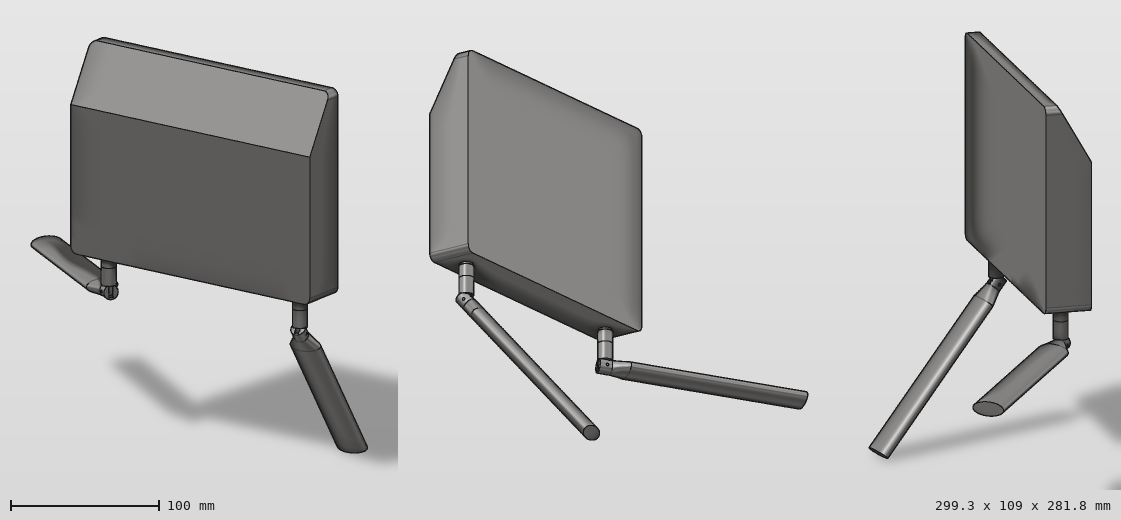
import cadquery as cq

HOUSING_WIDTH = 200.0
HOUSING_DEPTH = 32.0
HOUSING_HEIGHT = 145.0
CORNER_RADIUS = 5.0
SLOPE_HEIGHT = 40.0
TOP_LEDGE_DEPTH = 9.0

PEG_SPACING = 160.0
PEG_DIAMETER = 9.0
PEG_LENGTH = 10.0
STUB_GAP = 1.5
STUB_DIAMETER = 10.2
STUB_BOTTOM = -22.5

PIVOT_Z = -27.0
TONGUE_THICKNESS = 3.0
TONGUE_RADIUS = 3.5
PIN_RADIUS = 1.0
NECK_RADIUS = 5.0
NECK_BACK = 5.0
NECK_FRONT = 3.5

SHOULDER_END = 15.0
ANTENNA_LENGTH = 140.0
PADDLE_WIDTH = 22.2
PADDLE_THICKNESS = 10.2

ANTENNA_POSES = [
    (-PEG_SPACING / 2, 143.8, 3.4),
    (PEG_SPACING / 2, 103.6, 49.5),
]


def make_housing():
    front, back = -HOUSING_DEPTH / 2, HOUSING_DEPTH / 2
    slope_start = HOUSING_HEIGHT - SLOPE_HEIGHT
    profile = [
        (front, 0),
        (back, 0),
        (back, HOUSING_HEIGHT),
        (back - TOP_LEDGE_DEPTH, HOUSING_HEIGHT),
        (front, slope_start),
    ]
    wedge = cq.Workplane("YZ").polyline(profile).close().extrude(HOUSING_WIDTH / 2, both=True)
    outline = (
        cq.Workplane("XZ")
        .rect(HOUSING_WIDTH, HOUSING_HEIGHT)
        .extrude(HOUSING_DEPTH / 2, both=True)
        .translate((0, 0, HOUSING_HEIGHT / 2))
        .edges("|Y")
        .fillet(CORNER_RADIUS)
    )
    pegs = cq.Workplane("XY").rarray(PEG_SPACING, 3, 2, 1).circle(PEG_DIAMETER / 2).extrude(-PEG_LENGTH)
    return wedge.intersect(outline).union(pegs)


def make_stub():
    """Stub under a peg at X = 0, with its hinge axis along Y."""
    barrel = (
        cq.Workplane("XY", origin=(0, 0, STUB_BOTTOM))
        .circle(STUB_DIAMETER / 2)
        .extrude(-STUB_GAP - STUB_BOTTOM)
    )
    socket = cq.Workplane("XY").circle(PEG_DIAMETER / 2).extrude(-PEG_LENGTH)
    tongue_top = STUB_BOTTOM - PIVOT_Z
    tongue = (
        cq.Workplane("XZ", origin=(0, 0, PIVOT_Z))
        .moveTo(-TONGUE_RADIUS, tongue_top)
        .lineTo(-TONGUE_RADIUS, 0)
        .threePointArc((0, -TONGUE_RADIUS), (TONGUE_RADIUS, 0))
        .lineTo(TONGUE_RADIUS, tongue_top)
        .close()
        .extrude(TONGUE_THICKNESS / 2, both=True)
    )
    pin = cq.Workplane("XZ", origin=(0, 0, PIVOT_Z)).circle(PIN_RADIUS).extrude(NECK_RADIUS, both=True)
    return barrel.cut(socket).union(tongue).union(pin)


def make_antenna(tilt, stub):
    """Antenna with a slotted round neck that widens into an elliptical paddle.

    It lies along +X from the hinge at X = 0, tilted down and fitted around its stub.
    """
    neck = cq.Workplane("YZ", origin=(-NECK_BACK, 0, 0)).circle(NECK_RADIUS).extrude(NECK_BACK + NECK_FRONT)
    slot = cq.Workplane("XY", origin=(-NECK_BACK, 0, -TONGUE_RADIUS)).box(
        NECK_BACK + NECK_FRONT,
        TONGUE_THICKNESS,
        TONGUE_RADIUS + NECK_RADIUS,
        centered=(False, True, False),
    )
    half_width, half_thickness = PADDLE_WIDTH / 2, PADDLE_THICKNESS / 2
    shoulder = (
        cq.Workplane("YZ", origin=(NECK_FRONT, 0, 0))
        .circle(NECK_RADIUS)
        .workplane(offset=SHOULDER_END - NECK_FRONT)
        .ellipse(half_width, half_thickness)
        .loft(ruled=True)
    )
    paddle = (
        cq.Workplane("YZ", origin=(SHOULDER_END, 0, 0))
        .ellipse(half_width, half_thickness)
        .extrude(ANTENNA_LENGTH - SHOULDER_END)
    )
    antenna = neck.cut(slot).union(shoulder).union(paddle)
    antenna = antenna.rotate((0, 0, 0), (0, 1, 0), tilt).translate((0, 0, PIVOT_Z))
    return antenna.cut(stub)


def place(body, peg_x, heading):
    return body.rotate((0, 0, 0), (0, 0, 1), heading).translate((peg_x, 0, 0))


housing = make_housing()
stub = make_stub()
stubs = []
antennas = []
for peg_x, heading, tilt in ANTENNA_POSES:
    stubs.append(place(stub, peg_x, heading).val())
    antennas.append(place(make_antenna(tilt, stub), peg_x, heading).val())

result = cq.Compound.makeCompound([housing.val(), *stubs, *antennas])